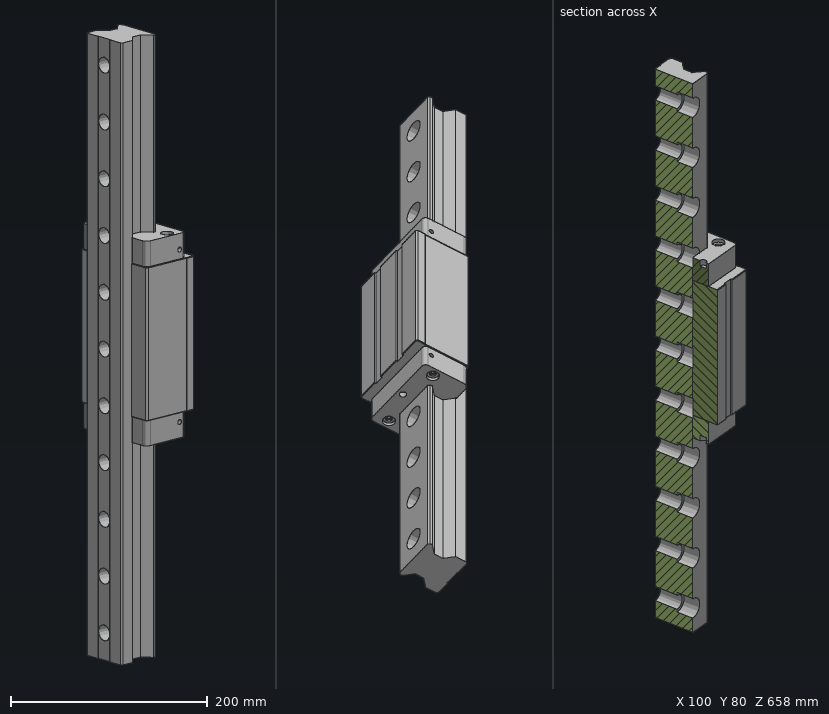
import cadquery as cq


rail_length = 658.0
rail_width = 53.0
rail_height = 49.0
rail_edge_chamfer = 2.0
web_half_width = 17.0
shoulder_low = 15.0
waist_low = 24.5
waist_high = 35.0
shoulder_high = 44.0
groove_width = 18.0
groove_depth = 0.5

hole_count = 11
hole_end_distance = 29.0
hole_diameter = 16.5
counterbore_diameter = 23.0
counterbore_depth = 20.0

carriage_center_z = 12.5
block_length = 162.5
block_width = 100.0
block_top = 80.0
block_bottom = 14.0
block_chamfer = 2.0
block_end_chamfer = 0.5
flank_step = 0.5
top_groove_offset = 19.0
top_groove_width = 10.5
top_groove_depth = 2.0

cap_length = 27.0
cap_width = 97.0
cap_base_inset = 0.3
cap_top = 69.0
cap_top_radius = 4.5
cap_bottom_radius = 6.0
screw_offset = 39.0
screw_height = 52.0
screw_bores = [(13.0, 4.0), (7.0, 6.0), (4.2, 8.0)]
end_port_diameter = 7.0
side_port_diameter = 4.95
port_depth = 6.5
end_port_height = 62.0
side_port_height = 60.5
side_port_end_distance = 17.0

rail_half_width = rail_width / 2
hole_pitch = (rail_length - 2 * hole_end_distance) / (hole_count - 1)
block_half_width = block_width / 2
cap_bottom = block_bottom + cap_base_inset
cap_height = cap_top - cap_bottom


def mirrored_bar(right_side, length):
    """Prism centred on Z = 0 from the right half of a section symmetric about X = 0."""
    bar = cq.Workplane("XY").polyline(right_side).mirrorY().extrude(length)
    return bar.translate((0, 0, -length / 2))


def rail_bar():
    """Plain rail section over the full length, without holes or base groove."""
    c = rail_edge_chamfer
    right_side = [
        (0, 0),
        (rail_half_width - c, 0),
        (rail_half_width, c),
        (rail_half_width, shoulder_low),
        (web_half_width, waist_low),
        (web_half_width, waist_high),
        (rail_half_width, shoulder_high),
        (rail_half_width, rail_height - c),
        (rail_half_width - c, rail_height),
        (0, rail_height),
    ]
    return mirrored_bar(right_side, rail_length)


def make_rail():
    groove = cq.Workplane("XY").box(groove_width, 2 * groove_depth, rail_length)
    rail = rail_bar().cut(groove)
    for i in range(hole_count):
        z = -rail_length / 2 + hole_end_distance + i * hole_pitch
        top_face = cq.Workplane("XZ", origin=(0, rail_height, z))
        hole = top_face.circle(hole_diameter / 2).extrude(rail_height)
        counterbore = top_face.circle(counterbore_diameter / 2).extrude(counterbore_depth)
        rail = rail.cut(hole).cut(counterbore)
    return rail


def make_block():
    c = block_chamfer
    flank = block_half_width - flank_step
    right_side = [
        (0, block_bottom),
        (flank - c, block_bottom),
        (flank, block_bottom + c),
        (flank, cap_top),
        (block_half_width, cap_top),
        (block_half_width, block_top - c),
        (block_half_width - c, block_top),
        (0, block_top),
    ]
    block = mirrored_bar(right_side, block_length).faces("|Z").chamfer(block_end_chamfer)
    groove = cq.Workplane("XY").box(top_groove_width, 2 * top_groove_depth, block_length)
    for side in (-1, 1):
        block = block.cut(groove.translate((side * top_groove_offset, block_top, 0)))
    block = block.translate((0, 0, carriage_center_z))
    return block.cut(rail_bar())


def make_upper_cap():
    inner_z = carriage_center_z + block_length / 2
    outer_z = inner_z + cap_length
    cap = cq.Workplane("XY").box(cap_width, cap_height, cap_length)
    cap = cap.edges("|Z and >Y").fillet(cap_top_radius)
    cap = cap.edges("|Z and <Y").fillet(cap_bottom_radius)
    cap = cap.translate((0, cap_bottom + cap_height / 2, inner_z + cap_length / 2))
    cap = cap.cut(rail_bar())

    end_face = cq.Workplane("XY", origin=(0, 0, outer_z))
    end_port = end_face.center(0, end_port_height).circle(end_port_diameter / 2)
    cap = cap.cut(end_port.extrude(-port_depth))
    side_port_z = outer_z - side_port_end_distance
    for side in (-1, 1):
        for diameter, depth in screw_bores:
            bore = end_face.center(side * screw_offset, screw_height).circle(diameter / 2)
            cap = cap.cut(bore.extrude(-depth))
        flank = cq.Workplane("YZ", origin=(side * cap_width / 2, side_port_height, side_port_z))
        cap = cap.cut(flank.circle(side_port_diameter / 2).extrude(-side * port_depth))
    return cap


rail = make_rail()
block = make_block()
upper_cap = make_upper_cap()
lower_cap = upper_cap.mirror("XY", (0, 0, carriage_center_z))

result = cq.Compound.makeCompound([rail.val(), block.val(), upper_cap.val(), lower_cap.val()])